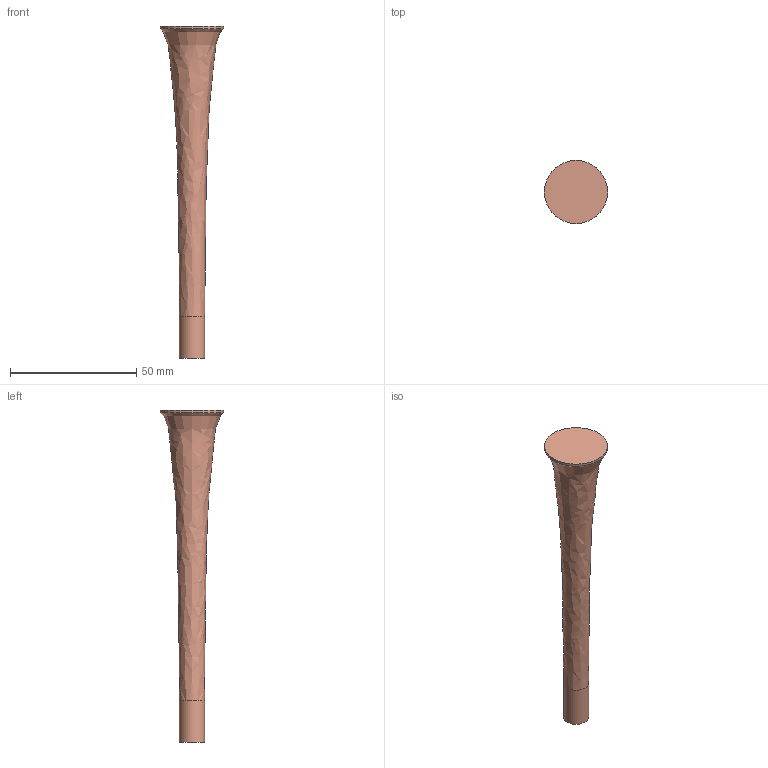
import cadquery as cq

total_height = 131.4
rim_diameter = 25.0
stem_diameter = 10.0

stem_height = 16.5
rim_thickness = 1.0
lip_height = 4.0

lip_base_radius = 10.2
lower_flare_radius = 5.65
lower_flare_height = 70.0
middle_flare_radius = 7.1
middle_flare_height = 102.0
upper_flare_radius = 8.5
upper_flare_height = 116.0

rim_radius = rim_diameter / 2
stem_radius = stem_diameter / 2
rim_base_height = total_height - rim_thickness
lip_base_height = rim_base_height - lip_height

stem_direction = (0, 1)
rim_direction = (1.3, 1)


def half_profile():
    """Closed outline in the XZ plane, with the whole flare as one smooth curve."""
    flare = [
        (lower_flare_radius, lower_flare_height),
        (middle_flare_radius, middle_flare_height),
        (upper_flare_radius, upper_flare_height),
        (lip_base_radius, lip_base_height),
        (rim_radius, rim_base_height),
    ]
    return (
        cq.Workplane("XZ")
        .lineTo(stem_radius, 0)
        .lineTo(stem_radius, stem_height)
        .spline(flare, tangents=[stem_direction, rim_direction], includeCurrent=True)
        .lineTo(rim_radius, total_height)
        .lineTo(0, total_height)
        .close()
    )


result = half_profile().revolve(360, (0, 0, 0), (0, 1, 0))